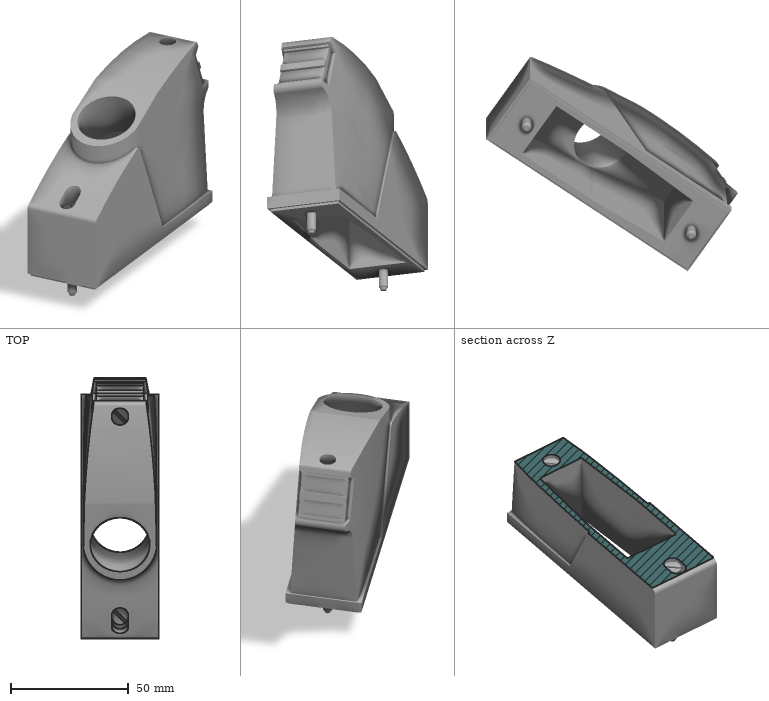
import cadquery as cq
import math


BASE_WIDTH = 33.0
BASE_LENGTH = 104.0
FLANGE_TOP = 5.2
FRONT_Y = -BASE_LENGTH / 2
REAR_Y = BASE_LENGTH / 2
SHOULDER_FOOT_Y = 7.9
SHOULDER_TOP = (-13.4, 51.2)
SHOULDER_RADIUS = 1.8
BASE_SLOPE_MIDDLE = (-34.3, 41.7)
BASE_FRONT_TOP = 31.2
FRONT_EDGE_RADIUS = 2.0

SEAL_WIDTH = 31.0
SEAL_LENGTH = 102.0
SEAL_THICKNESS = 1.1

HOOD_HALF_WIDTH = 15.55
HOOD_TOP = 74.95
OVERALL_HEIGHT = 85.03
HOOD_BREAK = (5.5, 68.4)
HOOD_CROWN_MIDDLE = (26.0, 73.1)
CABLE_TILT = 24.7
COLLAR_FRONT_Y = -27.0
COLLAR_SIDE_Y = -13.7

HOOD_REAR_WALL_Y = 51.4
REAR_HOLLOW_START_Z = 40.4
REAR_HOLLOW_MIDDLE = (53.6, 46.2)
NOSE_Y = REAR_Y + 7.0
NOSE_UNDERSIDE = (57.2, 48.9)
NOSE_TIP = (NOSE_Y, 51.2)
NOSE_CREST = (58.3, 53.1)
RECESS_LOWER_LIP = (57.3, 52.4)
RECESS_CORNER = (52.5, 51.6)
RECESS_UPPER_LIP = (49.3, 72.2)
CROWN_EDGE_START = (48.5, 74.0)
CROWN_EDGE_MIDDLE = (47.9, 74.7)
CROWN_EDGE_END = (46.8, HOOD_TOP)

PLAN_REAR_Y = NOSE_Y + 1.0
FOOT_TAPER_DROP = 2.1
FOOT_TAPER_POWER = 6
TOP_TAPER_DROP = 6.2
TOP_TAPER_POWER = 2
TAPER_STATIONS = 8

BORE_DIAMETER = 25.2
BORE_CENTRE_Y = -12.0
BORE_DEPTH = 28.0
CAVITY_HALF_WIDTH = 13.0
CAVITY_REAR_HALF_WIDTH = 11.0
CAVITY_HALF_LENGTH = 36.0
CAVITY_ROOF_SLOPE = 0.36
CAVITY_ROOF_MIDDLE = 42.5

RECESS_LEAN = 24.4
RECESS_LENGTH = 18.5
INSERT_WIDTH = 20.2
INSERT_FACE = 3.6
INSERT_LIP = 4.6
INSERT_TAB = 4.8
INSERT_ROOT = -1.0
LIP_HALF_HEIGHT = 0.55
TAB_START = 7.6
TAB_END = 11.0

SCREW_Y = 42.5
HEAD_DIAMETER = 7.2
HEAD_Z = 30.5
DRIVE_WIDTH = 1.0
DRIVE_DEPTH = 1.0
DRIVE_ANGLE = -45
POCKET_FLOOR_Z = 28.6
POCKET_TOP_Z = 45.6
POCKET_FLOOR_SHIFT = 1.7
PIN_RADIUS = 2.0
PIN_END_Z = -8.6
PIN_NECK_RADIUS = 1.5
PIN_NECK_Z = -9.1
PIN_TIP_RADIUS = 1.2
PIN_TIP_Z = HOOD_TOP - OVERALL_HEIGHT


def hood_slope_z(y):
    """Height of the flat cable-entry face at a given Y."""
    return HOOD_BREAK[1] - (HOOD_BREAK[0] - y) * math.tan(math.radians(CABLE_TILT))


def leaning_point(along, out):
    """Point (Y, Z) measured along the recess floor and out from it."""
    lean = math.radians(RECESS_LEAN)
    return (
        RECESS_CORNER[0] - along * math.sin(lean) + out * math.cos(lean),
        RECESS_CORNER[1] + along * math.cos(lean) + out * math.sin(lean),
    )


def across(outline, width):
    """Extrude a closed YZ outline symmetrically about the X = 0 plane."""
    return outline.close().extrude(width / 2, both=True)


def make_base():
    outline = (
        cq.Workplane("YZ")
        .moveTo(FRONT_Y, 0)
        .lineTo(REAR_Y, 0)
        .lineTo(REAR_Y, FLANGE_TOP)
        .lineTo(SHOULDER_FOOT_Y, FLANGE_TOP)
        .lineTo(*SHOULDER_TOP)
        .threePointArc(BASE_SLOPE_MIDDLE, (FRONT_Y, BASE_FRONT_TOP))
    )
    base = across(outline, BASE_WIDTH)

    def edge_at(y, z):
        return cq.selectors.NearestToPointSelector((0, y, z))

    base = base.edges(edge_at(*SHOULDER_TOP)).fillet(SHOULDER_RADIUS)
    return base.edges(edge_at(FRONT_Y, BASE_FRONT_TOP)).fillet(FRONT_EDGE_RADIUS)


def make_seal():
    return cq.Workplane("XY").rect(SEAL_WIDTH, SEAL_LENGTH).extrude(-SEAL_THICKNESS)


def plan_wire(z, drop, power):
    """Plan outline of the hood: round front, sides curving in by a power law toward the rear."""
    length = PLAN_REAR_Y - COLLAR_SIDE_Y
    fractions = [station / TAPER_STATIONS for station in range(TAPER_STATIONS + 1)]
    right_side = [
        (HOOD_HALF_WIDTH - drop * fraction**power, COLLAR_SIDE_Y + length * fraction)
        for fraction in fractions
    ]
    left_side = [(-x, y) for x, y in reversed(right_side)]
    return (
        cq.Workplane("XY", origin=(0, 0, z))
        .moveTo(*left_side[-1])
        .threePointArc((0, COLLAR_FRONT_Y), right_side[0])
        .spline(right_side[1:], includeCurrent=True)
        .lineTo(*left_side[0])
        .spline(left_side[1:], includeCurrent=True)
        .close()
        .val()
    )


def make_hood():
    outline = (
        cq.Workplane("YZ")
        .moveTo(COLLAR_FRONT_Y, FLANGE_TOP)
        .lineTo(HOOD_REAR_WALL_Y, FLANGE_TOP)
        .lineTo(HOOD_REAR_WALL_Y, REAR_HOLLOW_START_Z)
        .threePointArc(REAR_HOLLOW_MIDDLE, NOSE_UNDERSIDE)
        .threePointArc(NOSE_TIP, NOSE_CREST)
        .lineTo(*RECESS_LOWER_LIP)
        .lineTo(*RECESS_CORNER)
        .lineTo(*leaning_point(RECESS_LENGTH, 0))
        .lineTo(*RECESS_UPPER_LIP)
        .lineTo(*CROWN_EDGE_START)
        .threePointArc(CROWN_EDGE_MIDDLE, CROWN_EDGE_END)
        .threePointArc(HOOD_CROWN_MIDDLE, HOOD_BREAK)
        .lineTo(COLLAR_FRONT_Y, hood_slope_z(COLLAR_FRONT_Y))
    )
    side_profile = across(outline, BASE_WIDTH)
    foot = plan_wire(FLANGE_TOP, FOOT_TAPER_DROP, FOOT_TAPER_POWER)
    top = plan_wire(HOOD_TOP, TOP_TAPER_DROP, TOP_TAPER_POWER)
    envelope = cq.Workplane(cq.Solid.makeLoft([foot, top], True))
    return side_profile.intersect(envelope)


def make_insert():
    steps = [
        (-LIP_HALF_HEIGHT, INSERT_ROOT),
        (-LIP_HALF_HEIGHT, INSERT_LIP),
        (LIP_HALF_HEIGHT, INSERT_LIP),
        (LIP_HALF_HEIGHT, INSERT_FACE),
        (TAB_START, INSERT_FACE),
        (TAB_START, INSERT_TAB),
        (TAB_END, INSERT_TAB),
        (TAB_END, INSERT_FACE),
        (RECESS_LENGTH, INSERT_FACE),
        (RECESS_LENGTH, INSERT_LIP),
        (RECESS_LENGTH + 2 * LIP_HALF_HEIGHT, INSERT_LIP),
        (RECESS_LENGTH + 2 * LIP_HALF_HEIGHT, INSERT_ROOT),
    ]
    points = [leaning_point(along, out) for along, out in steps]
    return across(cq.Workplane("YZ").polyline(points), INSERT_WIDTH)


def make_cavity():
    """Open-bottomed room between the screws, with a sloping roof, narrowing to the rear."""
    rise = CAVITY_HALF_LENGTH * CAVITY_ROOF_SLOPE
    outline = cq.Workplane("YZ").polyline([
        (-CAVITY_HALF_LENGTH, -SEAL_THICKNESS),
        (CAVITY_HALF_LENGTH, -SEAL_THICKNESS),
        (CAVITY_HALF_LENGTH, CAVITY_ROOF_MIDDLE + rise),
        (-CAVITY_HALF_LENGTH, CAVITY_ROOF_MIDDLE - rise),
    ])
    plan = (
        cq.Workplane("XY", origin=(0, 0, -SEAL_THICKNESS))
        .polyline([
            (-CAVITY_HALF_WIDTH, -CAVITY_HALF_LENGTH),
            (CAVITY_HALF_WIDTH, -CAVITY_HALF_LENGTH),
            (CAVITY_HALF_WIDTH, 0),
            (CAVITY_REAR_HALF_WIDTH, CAVITY_HALF_LENGTH),
            (-CAVITY_REAR_HALF_WIDTH, CAVITY_HALF_LENGTH),
            (-CAVITY_HALF_WIDTH, 0),
        ])
        .close()
        .extrude(HOOD_TOP)
    )
    return across(outline, 2 * CAVITY_HALF_WIDTH).intersect(plan)


def make_bore():
    """Cable bore, square to the sloping face and ending inside the cavity."""
    tilt = math.radians(CABLE_TILT)
    start = cq.Vector(0, BORE_CENTRE_Y, hood_slope_z(BORE_CENTRE_Y))
    inward = cq.Vector(0, math.sin(tilt), -math.cos(tilt))
    return cq.Workplane(cq.Solid.makeCylinder(BORE_DIAMETER / 2, BORE_DEPTH, start, inward))


def make_head_well(y):
    """Round well down to a screw head, with the diagonal driver slot in the head."""
    well = cq.Workplane("XY", origin=(0, y, HEAD_Z)).circle(HEAD_DIAMETER / 2).extrude(HOOD_TOP - HEAD_Z)
    drive = (
        cq.Workplane("XY", origin=(0, y, HEAD_Z))
        .transformed(rotate=(0, 0, DRIVE_ANGLE))
        .rect(HEAD_DIAMETER, DRIVE_WIDTH)
        .extrude(-DRIVE_DEPTH)
    )
    return well.union(drive)


def make_front_pocket():
    """Forward-leaning relief that lengthens the front well and leaves the screw head proud."""
    height = POCKET_TOP_Z - POCKET_FLOOR_Z
    lean = height * math.tan(math.radians(CABLE_TILT))
    floor_y = -SCREW_Y - POCKET_FLOOR_SHIFT
    floor_centre = cq.Vector(0, floor_y, POCKET_FLOOR_Z)
    floor_circle = cq.Wire.makeCircle(HEAD_DIAMETER / 2, floor_centre, cq.Vector(0, 0, 1))
    leaning = cq.Workplane(cq.Solid.extrudeLinear(floor_circle, [], cq.Vector(0, -lean, height)))
    filler = across(
        cq.Workplane("YZ").polyline([
            (-SCREW_Y, POCKET_FLOOR_Z),
            (floor_y, POCKET_FLOOR_Z),
            (floor_y - lean, POCKET_FLOOR_Z + height),
            (-SCREW_Y, POCKET_FLOOR_Z + height),
        ]),
        HEAD_DIAMETER,
    )
    head = (
        cq.Workplane("XY", origin=(0, -SCREW_Y, POCKET_FLOOR_Z))
        .circle(HEAD_DIAMETER / 2)
        .extrude(height)
    )
    return leaning.union(filler).cut(head)


def make_pin(y):
    """Screw end below the seal, stepping down to a narrow tip."""
    return (
        cq.Workplane("XZ", origin=(0, y, 0))
        .polyline([
            (0, 0),
            (PIN_RADIUS, 0),
            (PIN_RADIUS, PIN_END_Z),
            (PIN_NECK_RADIUS, PIN_NECK_Z),
            (PIN_TIP_RADIUS, PIN_TIP_Z),
            (0, PIN_TIP_Z),
        ])
        .close()
        .revolve(360, (0, 0), (0, 1))
    )


result = make_base().union(make_seal()).union(make_hood()).union(make_insert())
result = result.cut(make_cavity()).cut(make_bore()).cut(make_front_pocket())
for screw_y in (-SCREW_Y, SCREW_Y):
    result = result.cut(make_head_well(screw_y)).union(make_pin(screw_y))
result = result.solids()